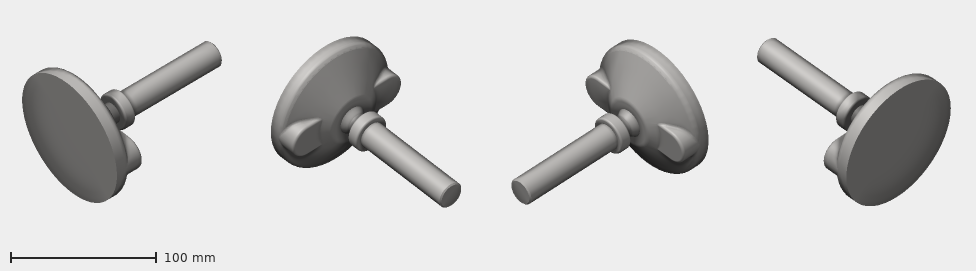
import cadquery as cq
import math


FOOT_RADIUS = 50.0
FOOT_HEIGHT = 28.0
RIM_HEIGHT = 7.3
RIM_ROUND = 5.0
CROWN_ROUND = 6.0
CONE_ANGLE = math.radians(29.3)

LUG_RADIUS = 13.0
LUG_INSET = 0.05
LUG_OFFSET = FOOT_RADIUS - LUG_RADIUS - LUG_INSET
LUG_HEIGHT = 23.5
LUG_TOP_ROUND = 2.0
LUG_ROOT_ROUND = 2.0

STUD_TOP = 130.0
SHANK_RADIUS = 10.0
SHANK_CHAMFER = 1.0
COLLAR_RADIUS = 14.0
COLLAR_BOTTOM = 39.0
COLLAR_TOP = 48.0
COLLAR_ROUND = 1.5
NECK_RADIUS = 7.8
NECK_BOTTOM = 33.0
STUD_BASE_RADIUS = 10.8


def revolve_about_y(profile):
    return profile.close().revolve(360, (0, 0, 0), (0, 1, 0))


def point_on_round(center, radius, angle):
    """Point of a round, with the angle measured from +Y towards +X."""
    return (center[0] + radius * math.sin(angle), center[1] + radius * math.cos(angle))


def make_dome():
    rim_center = (FOOT_RADIUS - RIM_ROUND, RIM_HEIGHT)
    cone_bottom = point_on_round(rim_center, RIM_ROUND, CONE_ANGLE)
    rim_middle = point_on_round(rim_center, RIM_ROUND, (CONE_ANGLE + math.pi / 2) / 2)

    crown_drop = CROWN_ROUND * (1 - math.cos(CONE_ANGLE))
    cone_top_y = FOOT_HEIGHT - crown_drop
    cone_top_x = cone_bottom[0] - (cone_top_y - cone_bottom[1]) / math.tan(CONE_ANGLE)
    crown_center = (cone_top_x - CROWN_ROUND * math.sin(CONE_ANGLE), FOOT_HEIGHT - CROWN_ROUND)
    crown_middle = point_on_round(crown_center, CROWN_ROUND, CONE_ANGLE / 2)

    profile = (
        cq.Workplane("XY")
        .lineTo(FOOT_RADIUS, 0)
        .lineTo(FOOT_RADIUS, RIM_HEIGHT)
        .threePointArc(rim_middle, cone_bottom)
        .lineTo(cone_top_x, cone_top_y)
        .threePointArc(crown_middle, (crown_center[0], FOOT_HEIGHT))
        .lineTo(0, FOOT_HEIGHT)
    )
    return revolve_about_y(profile)


def make_lug(side):
    return (
        cq.Workplane("XZ")
        .center(side * LUG_OFFSET, 0)
        .moveTo(0, -LUG_RADIUS)
        .threePointArc((side * LUG_RADIUS, 0), (0, LUG_RADIUS))
        .lineTo(-side * LUG_OFFSET, LUG_RADIUS)
        .lineTo(-side * LUG_OFFSET, -LUG_RADIUS)
        .close()
        .extrude(-LUG_HEIGHT)
        .faces(">Y")
        .edges("not |Z")
        .fillet(LUG_TOP_ROUND)
    )


def make_foot():
    foot = make_dome()
    for side in (-1, 1):
        foot = foot.union(make_lug(side))
    return foot.edges("not(%CIRCLE or %LINE)").fillet(LUG_ROOT_ROUND)


def make_stud():
    profile = (
        cq.Workplane("XY")
        .moveTo(0, FOOT_HEIGHT)
        .lineTo(STUD_BASE_RADIUS, FOOT_HEIGHT)
        .lineTo(NECK_RADIUS, NECK_BOTTOM)
        .lineTo(NECK_RADIUS, COLLAR_BOTTOM)
        .lineTo(COLLAR_RADIUS, COLLAR_BOTTOM)
        .lineTo(COLLAR_RADIUS, COLLAR_TOP)
        .lineTo(SHANK_RADIUS, COLLAR_TOP)
        .lineTo(SHANK_RADIUS, STUD_TOP - SHANK_CHAMFER)
        .lineTo(SHANK_RADIUS - SHANK_CHAMFER, STUD_TOP)
        .lineTo(0, STUD_TOP)
    )
    collar_rims = cq.selectors.RadiusNthSelector(-1)
    return revolve_about_y(profile).edges(collar_rims).fillet(COLLAR_ROUND)


foot = make_foot()
stud = make_stud()
result = cq.Compound.makeCompound([foot.val(), stud.val()])